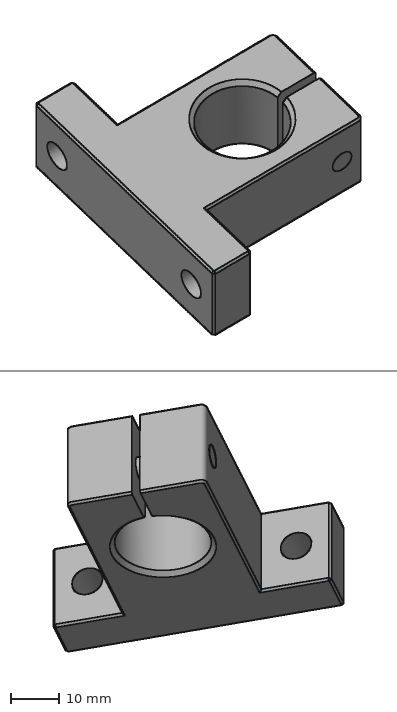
import cadquery as cq

base_width = 60.0
base_depth = 10.0
height = 20.0
block_width = 30.0
total_depth = 51.0
back_corner_radius = 1.2
edge_chamfer = 0.5

bore_diameter = 20.0
bore_chamfer = 1.0
bore_from_front = 31.0
slot_width = 1.8

mount_hole_diameter = 6.6
mount_hole_spacing = 45.0

screw_diameter = 5.0
screw_from_back = 5.5
screw_recess = 0.1

front_y = -total_depth / 2
back_y = total_depth / 2
bore_y = front_y + bore_from_front
screw_y = back_y - screw_from_back
block_side_x = block_width / 2


def make_blank():
    """T-shaped block with rounded back corners and chamfered outer edges."""
    base = cq.Workplane("XY").box(base_width, base_depth, height).translate(
        (0, front_y + base_depth / 2, 0)
    )
    block = cq.Workplane("XY").box(block_width, total_depth, height)
    blank = base.union(block).clean()
    blank = blank.faces(">Y").edges("|Z").fillet(back_corner_radius)
    blank = blank.faces("<X or >X").edges("|Z").chamfer(edge_chamfer)
    return blank.faces("<Z or >Z").edges().chamfer(edge_chamfer)


def cut_bore(body):
    """Vertical shaft bore, chamfered at both ends."""
    bore = cq.Workplane("XY").center(0, bore_y).circle(bore_diameter / 2).extrude(height, both=True)
    largest_circles = cq.selectors.RadiusNthSelector(-1)
    return body.cut(bore).edges("%CIRCLE").edges(largest_circles).chamfer(bore_chamfer)


def cut_slot(body):
    """Clamping slot from the bore out through the back face."""
    slot_length = back_y - bore_y
    slot = cq.Workplane("XY").box(slot_width, slot_length, height).translate(
        (0, bore_y + slot_length / 2, 0)
    )
    return body.cut(slot)


def cut_mount_holes(body):
    """Two plain holes along Y through the base."""
    for x in (-mount_hole_spacing / 2, mount_hole_spacing / 2):
        hole = cq.Workplane("XZ", origin=(x, 0, 0)).circle(mount_hole_diameter / 2)
        body = body.cut(hole.extrude(total_depth, both=True))
    return body


def screw_cylinder(start_x):
    """Cylinder on the screw axis, from start_x to the +X side of the block."""
    return (
        cq.Workplane("YZ", origin=(start_x, screw_y, 0))
        .circle(screw_diameter / 2)
        .extrude(block_side_x - start_x)
    )


def cut_screw_hole(body):
    """Screw hole through the full width of the block."""
    return body.cut(screw_cylinder(-block_side_x))


def make_screw():
    """Plain clamp screw, its tip set slightly below the -X side of the block."""
    return screw_cylinder(-block_side_x + screw_recess)


housing = make_blank()
housing = cut_bore(housing)
housing = cut_slot(housing)
housing = cut_mount_holes(housing)
housing = cut_screw_hole(housing)

screw = make_screw()

result = cq.Compound.makeCompound([housing.val(), screw.val()])